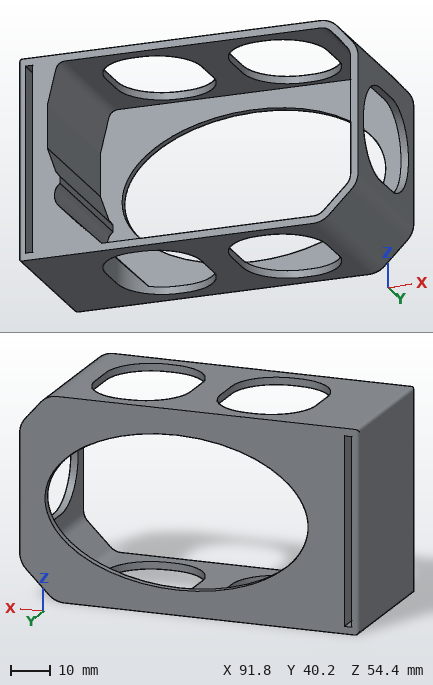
import cadquery as cq

LENGTH = 91.8
DEPTH = 40.2
HEIGHT = 54.4
WALL = 2.0
CENTER_Z = HEIGHT / 2

TOP_SETBACK_X = 7.4
TOP_SETBACK_Z = 8.4
BOTTOM_SETBACK = 9.6
CORNER_RADIUS = 6.1
END_FILLET = 1.0

SLOT_START = 1.8

ELLIPSE_X = 49.3
ELLIPSE_RADIUS_X = 35.6
ELLIPSE_RADIUS_Z = 20.5

WINDOW_WIDTH = 25.9
WINDOW_DEPTH = 32.3
WINDOW_RADIUS = 12.0
FIRST_WINDOW_X = 30.6
WINDOW_PITCH = 34
END_WINDOW_HEIGHT = 25.0
END_WINDOW_Z = 28.0

CAVITY_TOP_X = 10.55
CAVITY_TOP_RADIUS = 2.6
CAVITY_LEFT_X = 7.8
LEFT_FLAT_TOP_Z = 41.1
LEFT_FLAT_BOTTOM_Z = 29.55
NECK_TOP = (10.1, 22.9)
BUMP_X = 11.2
BUMP_TOP_Z = 21.5
BUMP_BOTTOM_Z = 19.6
BULGE_START = (10.3, 18.6)
BULGE_MIDDLE = (9.7, 16.3)
BULGE_END = (10.9, 13.6)
RAMP_END_X = 22.5


def prism(profile, depth):
    """Extrude an XZ profile from Y = 0 toward +Y."""
    return profile.extrude(-depth)


def make_block(inset, depth):
    """Block with two sloped, rounded corners, its outline moved inward by `inset`."""
    outline = (
        cq.Workplane("XZ")
        .polyline([
            (0, 0),
            (LENGTH - BOTTOM_SETBACK, 0),
            (LENGTH, BOTTOM_SETBACK),
            (LENGTH, HEIGHT - TOP_SETBACK_Z),
            (LENGTH - TOP_SETBACK_X, HEIGHT),
            (0, HEIGHT),
        ])
        .close()
    )
    if inset > 0:
        outline = outline.offset2D(-inset, "intersection")
    right_half = cq.selectors.BoxSelector(
        (LENGTH / 2, -0.9, -0.9), (LENGTH + 0.9, DEPTH + 0.9, HEIGHT + 0.9)
    )
    return prism(outline, depth).edges("|Y").edges(right_half).fillet(CORNER_RADIUS - inset)


def make_cavity():
    """Inset block, limited on the left by the shaped edge."""
    top = HEIGHT - WALL
    limit = (
        cq.Workplane("XZ")
        .moveTo(LENGTH, WALL)
        .lineTo(RAMP_END_X, WALL)
        .lineTo(*BULGE_END)
        .threePointArc(BULGE_MIDDLE, BULGE_START)
        .lineTo(BUMP_X, BUMP_BOTTOM_Z)
        .lineTo(BUMP_X, BUMP_TOP_Z)
        .lineTo(*NECK_TOP)
        .lineTo(CAVITY_LEFT_X, LEFT_FLAT_BOTTOM_Z)
        .lineTo(CAVITY_LEFT_X, LEFT_FLAT_TOP_Z)
        .lineTo(CAVITY_TOP_X, top)
        .lineTo(LENGTH, top)
        .close()
    )
    top_corner = cq.selectors.NearestToPointSelector((CAVITY_TOP_X, DEPTH / 2, top))
    limit = prism(limit, DEPTH - WALL).edges("|Y").edges(top_corner).fillet(CAVITY_TOP_RADIUS)
    return limit.intersect(make_block(WALL, DEPTH - WALL))


def make_slot():
    slot = cq.Workplane("XZ").moveTo(SLOT_START + WALL / 2, CENTER_Z).rect(WALL, HEIGHT - 2 * WALL)
    return prism(slot, DEPTH)


def make_ellipse_window():
    window = cq.Workplane("XZ").moveTo(ELLIPSE_X, CENTER_Z).ellipse(ELLIPSE_RADIUS_X, ELLIPSE_RADIUS_Z)
    return prism(window, DEPTH)


def make_wall_window(x):
    """Rounded window through the top and bottom walls."""
    window = cq.Workplane("XY").box(WINDOW_WIDTH, WINDOW_DEPTH, HEIGHT)
    return window.edges("|Z").fillet(WINDOW_RADIUS).translate((x, DEPTH / 2, CENTER_Z))


def make_end_window():
    """Rounded window through the +X wall."""
    window = cq.Workplane("XY").box(2 * WALL, WINDOW_DEPTH, END_WINDOW_HEIGHT)
    return window.edges("|X").fillet(WINDOW_RADIUS).translate((LENGTH, DEPTH / 2, END_WINDOW_Z))


body = make_block(0, DEPTH)
result = (
    body.faces("<X").edges().fillet(END_FILLET)
    .cut(make_cavity())
    .cut(make_slot())
    .cut(make_ellipse_window())
    .cut(make_end_window())
)
for index in range(2):
    result = result.cut(make_wall_window(FIRST_WINDOW_X + index * WINDOW_PITCH))